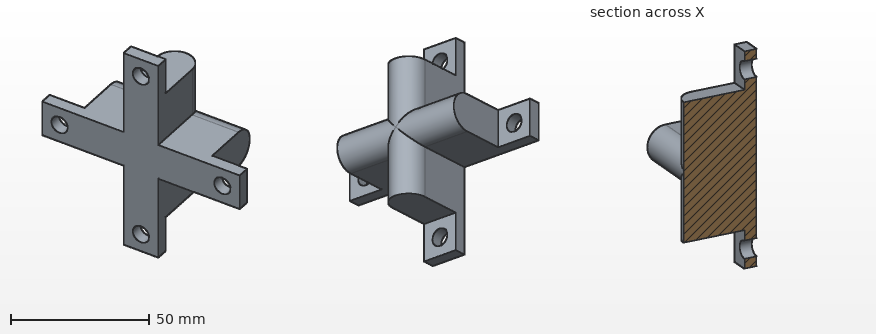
import cadquery as cq

span = 85.0
arm_width = 15.0
depth = 30.0
plate_thickness = 5.0
bar_length = 55.0
hole_diameter = 7.0
hole_offset = 35.0

half_width = arm_width / 2
crown_start = depth - half_width
quarter_turns = (0, 90, 180, 270)


def turned(shape, angle):
    """Turn a shape about the Y axis through the centre of the cross."""
    return shape.rotate((0, 0, 0), (0, 1, 0), angle)


def plate_arm():
    """Flat strip along X with its front face on Y = 0."""
    return cq.Workplane("XY").box(span, plate_thickness, arm_width, centered=(True, False, True))


def round_topped_bar():
    """Bar along Z, with a flat base on Y = 0 and a half-round crown."""
    return (
        cq.Workplane("XY")
        .workplane(offset=-bar_length / 2)
        .moveTo(-half_width, 0)
        .lineTo(half_width, 0)
        .lineTo(half_width, crown_start)
        .threePointArc((0, depth), (-half_width, crown_start))
        .close()
        .extrude(bar_length)
    )


def mounting_hole():
    """Cutter through the plate near the +X tip."""
    axis_start = cq.Vector(hole_offset, 0, 0)
    along_y = cq.Vector(0, 1, 0)
    return cq.Workplane(cq.Solid.makeCylinder(hole_diameter / 2, plate_thickness, axis_start, along_y))


arm = plate_arm()
bar = round_topped_bar()
result = arm.union(turned(arm, 90)).union(bar).union(turned(bar, 90))

for angle in quarter_turns:
    result = result.cut(turned(mounting_hole(), angle))